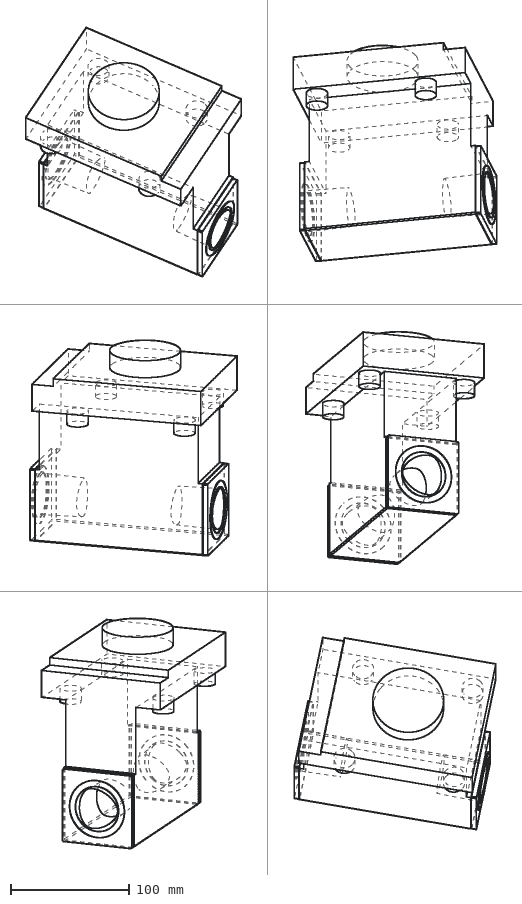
import cadquery as cq
import math

total_height = 167.0
total_length = 158.0

plate_length = 149.0
plate_width = 108.0
plate_thickness = 30.0
plate_upper_length = 130.3
plate_step_depth = 6.5
plate_left = -total_length / 2
plate_right = plate_left + plate_length
plate_axis_x = plate_left + plate_upper_length / 2

boss_diameter = 60.0
boss_height = 15.0
plate_top = total_height - boss_height
plate_bottom = plate_top - plate_thickness

screw_diameter = 18.0
screw_height = 11.7
screw_spacing_x = 94.2
screw_spacing_y = 84.3

body_width = 64.0
neck_left = -70.0
base_length = 147.6
base_height = 63.6
base_chamfer = 1.2

groove_width = 0.3
groove_depth = 0.3
flange_outer_x = 78.3
flange_inset = 0.3
flange_width = body_width - 2 * flange_inset
flange_chamfer = 1.0

ring_outer_diameter = 50.0
ring_inner_diameter = 39.2
socket_z = 31.7
socket_radius = 17.4
socket_lobe = 1.25
socket_depth = 36.7
socket_taper = 1 / 40


def x_box(x_start, x_end, width, z_bottom, z_top):
    """Box between two X positions, centred on Y = 0."""
    return (
        cq.Workplane("XY", origin=((x_start + x_end) / 2, 0, z_bottom))
        .box(x_end - x_start, width, z_top - z_bottom, centered=(True, True, False))
    )


def make_plate():
    plate = x_box(plate_left, plate_right, plate_width, plate_bottom, plate_top)
    step = x_box(
        plate_left + plate_upper_length, plate_right, plate_width,
        plate_top - plate_step_depth, plate_top,
    )
    boss = (
        cq.Workplane("XY", origin=(plate_axis_x, 0, plate_top))
        .circle(boss_diameter / 2)
        .extrude(boss_height)
    )
    screws = (
        cq.Workplane("XY", origin=(plate_axis_x, 0, plate_bottom))
        .rect(screw_spacing_x, screw_spacing_y, forConstruction=True)
        .vertices()
        .circle(screw_diameter / 2)
        .extrude(-screw_height)
    )
    return plate.cut(step).union(boss).union(screws)


def make_body():
    base = x_box(-base_length / 2, base_length / 2, body_width, 0, base_height)
    base = base.faces("<Z").edges("|X").chamfer(base_chamfer)
    neck = x_box(neck_left, plate_right, body_width, base_height, plate_bottom)
    return base.union(neck)


def lobed_points(radius):
    """Points of a constant-width three-lobed profile; one lobe points towards +Y."""
    profile_steps = 24
    points = []
    for step in range(profile_steps):
        angle = 2 * math.pi * step / profile_steps
        support = radius - socket_lobe * math.cos(3 * angle)
        slope = 3 * socket_lobe * math.sin(3 * angle)
        points.append((
            support * math.cos(angle) - slope * math.sin(angle),
            support * math.sin(angle) + slope * math.cos(angle),
        ))
    return points


def end_plane(x):
    """Sketch plane on the -X end: local X is -Y, local Y is Z, normal is -X."""
    return cq.Workplane(cq.Plane(origin=(x, 0, socket_z), xDir=(0, -1, 0), normal=(-1, 0, 0)))


def make_end():
    """Flange, groove and contact ring of the -X end."""
    groove_outer_x = base_length / 2 + groove_width
    flange = x_box(-flange_outer_x, -groove_outer_x, flange_width, 0, base_height)
    flange = flange.edges("|X").chamfer(flange_chamfer)
    groove_core = x_box(
        -groove_outer_x, -base_length / 2, flange_width - 2 * groove_depth,
        groove_depth, base_height - groove_depth,
    )
    groove_core = groove_core.edges("|X").chamfer(flange_chamfer)
    ring = (
        end_plane(-flange_outer_x)
        .circle(ring_outer_diameter / 2)
        .circle(ring_inner_diameter / 2)
        .extrude(total_length / 2 - flange_outer_x)
    )
    return flange.union(groove_core).union(ring)


def make_socket():
    """Tapered cutter for the socket of the -X end."""
    end_radius = socket_radius - socket_taper * socket_depth
    return (
        end_plane(-flange_outer_x)
        .spline(lobed_points(socket_radius), periodic=True)
        .close()
        .workplane(offset=-socket_depth)
        .spline(lobed_points(end_radius), periodic=True)
        .close()
        .loft(combine=True)
    )


end = make_end()
socket = make_socket()
result = (
    make_plate()
    .union(make_body())
    .union(end)
    .union(end.mirror("YZ"))
    .cut(socket)
    .cut(socket.mirror("YZ"))
)